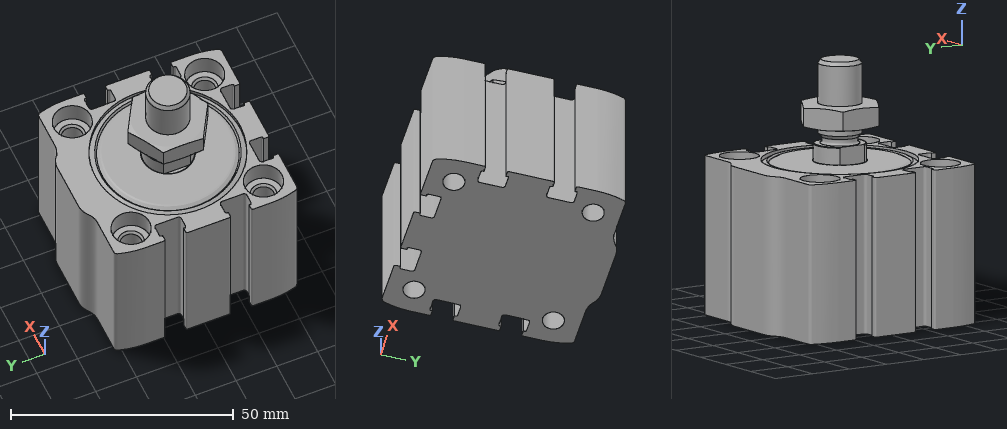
import cadquery as cq
import math

BODY_WIDTH = 45.0
BODY_HEIGHT = 36.5
TOTAL_HEIGHT = 59.5
HALF_WIDTH = BODY_WIDTH / 2
STRIP_RISE = 2.0
STRIP_TOP_HALF = 5.85
STRIP_FOOT_HALF = 11.8
SIDE_FLAT_HALF = 15.45
SIDE_ARC_RADIUS = 21.4
FRONT_CORNER_RADIUS = 1.2
REAR_CORNER_RADIUS = 0.9

SLOT_OFFSET = 8.05
SLOT_MOUTH_WIDTH = 5.1
SLOT_INNER_WIDTH = 6.4
SLOT_DEPTH = 4.8
SLOT_LIP = 1.5
SLOT_FLOOR_FILLET = 0.65
SLOT_LIP_FILLET = 0.35

MOUNT_OFFSET = 16.25
MOUNT_DIAMETER = 4.95
MOUNT_COUNTERSINK_DIAMETER = 6.0
MOUNT_COUNTERBORE_DIAMETER = 9.0
MOUNT_COUNTERBORE_DEPTH = 5.0

RECESS_RADIUS = 35.4 / 2
RECESS_WALL_DEPTH = 0.95
RING_RADIUS = 16.4
RING_DEPTH = 0.25
STEP_RADIUS = 32.0 / 2
STEP_DEPTH = 0.7
COVER_CHAMFER_RADIUS = 15.25
COVER_CHAMFER_DEPTH = 0.25
COVER_RADIUS = 14.8
COVER_DEPTH = 0.1
SOCKET_DEPTH = 0.6
SOCKET_CHAMFER = 0.2

ROD_DIAMETER = 12.0
ROD_FLATS_WIDTH = 10.0
ROD_TOP_CHAMFER = 0.2
SHOULDER_Z = 40.35
NECK_FOOT_DIAMETER = 9.0
NECK_DIAMETER = 8.1
NECK_BOTTOM_Z = 41.0
NECK_TOP_Z = 41.4
NECK_HEAD_DIAMETER = 8.6
NECK_HEAD_Z = 41.8
THREAD_DIAMETER = 10.0
THREAD_BOTTOM_Z = 42.65
TIP_DIAMETER = 8.6
TIP_CHAMFER_HEIGHT = 0.9

NUT_WIDTH = 17.0
NUT_BOTTOM_Z = 44.5
NUT_HEIGHT = 5.0
NUT_FACE_DIAMETER = 16.8
NUT_CHAMFER_ANGLE = 15.0

COVER_Z = BODY_HEIGHT - COVER_DEPTH
SOCKET_Z = BODY_HEIGHT - SOCKET_DEPTH


def body_blank():
    """Housing section without slots: bowed side ends, S-curved strip and rounded corners."""
    arc_run = HALF_WIDTH - SIDE_FLAT_HALF
    sweep = math.asin(arc_run / SIDE_ARC_RADIUS)

    def side_inset(angle):
        return SIDE_ARC_RADIUS * (1 - math.cos(angle))

    corner_x = HALF_WIDTH - side_inset(sweep)
    mid_x = HALF_WIDTH - side_inset(sweep / 2)
    mid_y = SIDE_FLAT_HALF + SIDE_ARC_RADIUS * math.sin(sweep / 2)
    bend_x = (STRIP_TOP_HALF + STRIP_FOOT_HALF) / 2
    bend_y = HALF_WIDTH + STRIP_RISE / 2
    strip_y = HALF_WIDTH + STRIP_RISE
    half = (
        cq.Workplane("XY")
        .moveTo(0, -HALF_WIDTH)
        .lineTo(corner_x, -HALF_WIDTH)
        .threePointArc((mid_x, -mid_y), (HALF_WIDTH, -SIDE_FLAT_HALF))
        .lineTo(HALF_WIDTH, SIDE_FLAT_HALF)
        .threePointArc((mid_x, mid_y), (corner_x, HALF_WIDTH))
        .lineTo(STRIP_FOOT_HALF, HALF_WIDTH)
        .tangentArcPoint((bend_x, bend_y), relative=False)
        .tangentArcPoint((STRIP_TOP_HALF, strip_y), relative=False)
        .lineTo(0, strip_y)
        .close()
        .extrude(BODY_HEIGHT)
    )
    blank = half.union(half.mirror("YZ"))
    for side in (-1, 1):
        for y, radius in ((-HALF_WIDTH, FRONT_CORNER_RADIUS), (HALF_WIDTH, REAR_CORNER_RADIUS)):
            corner = cq.selectors.NearestToPointSelector((side * corner_x, y, BODY_HEIGHT / 2))
            blank = blank.edges(corner).fillet(radius)
    return blank


def front_slot():
    """T-slot cutter opening towards -Y, centred on X = 0."""
    floor_y = SLOT_DEPTH - HALF_WIDTH
    lip_y = SLOT_LIP - HALF_WIDTH
    undercut = (
        cq.Workplane("XY")
        .rect(SLOT_INNER_WIDTH, floor_y - lip_y)
        .extrude(BODY_HEIGHT)
        .translate((0, (floor_y + lip_y) / 2, 0))
        .edges("|Z and >Y")
        .fillet(SLOT_FLOOR_FILLET)
        .edges("|Z and <Y")
        .fillet(SLOT_LIP_FILLET)
    )
    mouth_half = SLOT_MOUTH_WIDTH / 2
    flare_half = mouth_half + SLOT_LIP_FILLET
    flare_y = SLOT_LIP_FILLET - HALF_WIDTH
    mouth = (
        cq.Workplane("XY")
        .moveTo(-flare_half, -HALF_WIDTH)
        .radiusArc((-mouth_half, flare_y), -SLOT_LIP_FILLET)
        .lineTo(-mouth_half, lip_y)
        .lineTo(mouth_half, lip_y)
        .lineTo(mouth_half, flare_y)
        .radiusArc((flare_half, -HALF_WIDTH), -SLOT_LIP_FILLET)
        .close()
        .extrude(BODY_HEIGHT)
    )
    return undercut.union(mouth)


def slot_cutters():
    """Two slots on each of the -Y, +X and -X sides."""
    cutters = cq.Workplane("XY")
    for turn in (-90, 0, 90):
        for offset in (-SLOT_OFFSET, SLOT_OFFSET):
            slot = front_slot().translate((offset, 0, 0)).rotate((0, 0, 0), (0, 0, 1), turn)
            cutters = cutters.add(slot)
    return cutters.combine()


def mounting_hole():
    """Counterbored through hole with a 45 degree countersink, on the Z axis."""
    hole_radius = MOUNT_DIAMETER / 2
    sink_radius = MOUNT_COUNTERSINK_DIAMETER / 2
    bore_radius = MOUNT_COUNTERBORE_DIAMETER / 2
    floor_z = BODY_HEIGHT - MOUNT_COUNTERBORE_DEPTH
    outline = [
        (0, 0),
        (hole_radius, 0),
        (hole_radius, floor_z - (sink_radius - hole_radius)),
        (sink_radius, floor_z),
        (bore_radius, floor_z),
        (bore_radius, BODY_HEIGHT),
        (0, BODY_HEIGHT),
    ]
    return cq.Workplane("XZ").polyline(outline).close().revolve(360, (0, 0), (0, 1))


def cover_recess():
    """Stepped recess leaving the cover face just below the housing top, with the rod socket."""
    outline = [
        (0, BODY_HEIGHT),
        (RECESS_RADIUS, BODY_HEIGHT),
        (RECESS_RADIUS, BODY_HEIGHT - RECESS_WALL_DEPTH),
        (RING_RADIUS, BODY_HEIGHT - RING_DEPTH),
        (STEP_RADIUS, BODY_HEIGHT - STEP_DEPTH),
        (COVER_CHAMFER_RADIUS, BODY_HEIGHT - COVER_CHAMFER_DEPTH),
        (COVER_RADIUS, COVER_Z),
        (ROD_DIAMETER / 2 + SOCKET_CHAMFER, COVER_Z),
        (ROD_DIAMETER / 2, COVER_Z - SOCKET_CHAMFER),
        (ROD_DIAMETER / 2, SOCKET_Z),
        (0, SOCKET_Z),
    ]
    return cq.Workplane("XZ").polyline(outline).close().revolve(360, (0, 0), (0, 1))


def make_housing():
    body = body_blank().cut(slot_cutters()).cut(cover_recess())
    for x in (-MOUNT_OFFSET, MOUNT_OFFSET):
        for y in (-MOUNT_OFFSET, MOUNT_OFFSET):
            body = body.cut(mounting_hole().translate((x, y, 0)))
    return body


def make_rod():
    """Rod standing in the socket: flatted shank, undercut neck and threaded end."""
    rod_radius = ROD_DIAMETER / 2
    neck_radius = NECK_DIAMETER / 2
    thread_radius = THREAD_DIAMETER / 2
    foot_run = NECK_FOOT_DIAMETER / 2 - neck_radius
    foot_rise = NECK_BOTTOM_Z - SHOULDER_Z
    foot_arc = (foot_run**2 + foot_rise**2) / (2 * foot_run)
    turned = (
        cq.Workplane("XZ")
        .moveTo(0, SOCKET_Z)
        .lineTo(rod_radius, SOCKET_Z)
        .lineTo(rod_radius, SHOULDER_Z - ROD_TOP_CHAMFER)
        .lineTo(rod_radius - ROD_TOP_CHAMFER, SHOULDER_Z)
        .lineTo(NECK_FOOT_DIAMETER / 2, SHOULDER_Z)
        .radiusArc((neck_radius, NECK_BOTTOM_Z), foot_arc)
        .lineTo(neck_radius, NECK_TOP_Z)
        .tangentArcPoint((NECK_HEAD_DIAMETER / 2, NECK_HEAD_Z), relative=False)
        .lineTo(thread_radius, THREAD_BOTTOM_Z)
        .lineTo(thread_radius, TOTAL_HEIGHT - TIP_CHAMFER_HEIGHT)
        .lineTo(TIP_DIAMETER / 2, TOTAL_HEIGHT)
        .lineTo(0, TOTAL_HEIGHT)
        .close()
        .revolve(360, (0, 0), (0, 1))
    )
    between_flats = (
        cq.Workplane("XY")
        .rect(ROD_FLATS_WIDTH, ROD_DIAMETER)
        .extrude(TOTAL_HEIGHT)
    )
    return turned.intersect(between_flats)


def make_nut():
    """Hexagon nut with two flats facing X, conical corners and a bore for the thread."""
    corner_radius = NUT_WIDTH / math.sqrt(3)
    face_radius = NUT_FACE_DIAMETER / 2
    corner_drop = (corner_radius - face_radius) * math.tan(math.radians(NUT_CHAMFER_ANGLE))
    hexagon = (
        cq.Workplane("XY")
        .polygon(6, 2 * corner_radius)
        .extrude(NUT_HEIGHT)
        .rotate((0, 0, 0), (0, 0, 1), 30)
    )
    outline = [
        (THREAD_DIAMETER / 2, 0),
        (face_radius, 0),
        (corner_radius, corner_drop),
        (corner_radius, NUT_HEIGHT - corner_drop),
        (face_radius, NUT_HEIGHT),
        (THREAD_DIAMETER / 2, NUT_HEIGHT),
    ]
    turned = cq.Workplane("XZ").polyline(outline).close().revolve(360, (0, 0), (0, 1))
    return hexagon.intersect(turned).translate((0, 0, NUT_BOTTOM_Z))


housing = make_housing()
rod = make_rod()
nut = make_nut()

result = cq.Compound.makeCompound([housing.val(), rod.val(), nut.val()])